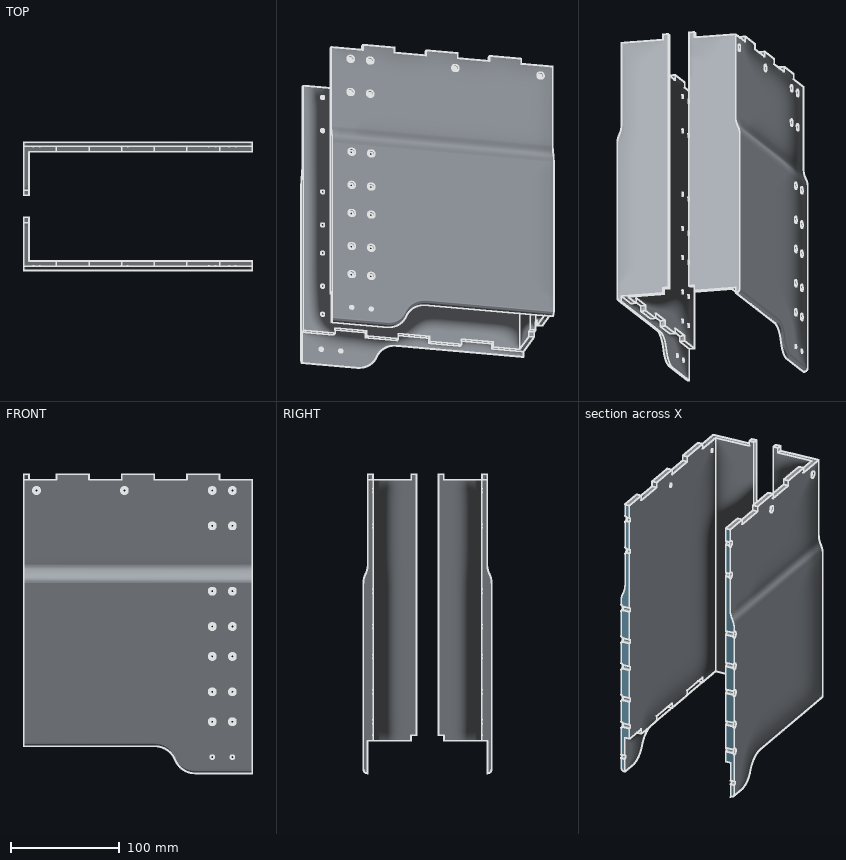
import cadquery as cq
import math

length = 210.0
half_width = 59.05
half_gap = 10.0
sheet = 5.0
inner_face = 50.0
upper_face = inner_face + sheet
step_out = half_width - upper_face

panel_height = 240.0
tab_height = 5.0
tab_top = panel_height + tab_height
total_height = 275.08

tab_length = 30.0
tab_pitch = 60.0
tab_count = 3
first_tab = 30.0

step_start = tab_top - 83.0
upper_arc_radius = 20.0
lower_arc_radius = 18.0

skirt_bottom = tab_top - total_height
skirt_drop = 25.0
skirt_shallow = skirt_bottom + skirt_drop
bend_start = 120.5
bend_radius = 20.0
edge_radius = 4.0

hole_diameter = 3.4
sink_diameter = 6.6
sink_angle = 90.0
top_hole_pitch = 80.75
first_hole_x = 11.75
top_row_extra = (first_hole_x, first_hole_x + top_hole_pitch)
near_column = first_hole_x + 2 * top_hole_pitch
column_gap = 18.5
columns = (near_column, near_column + column_gap)
pair_depths = (15.0, 107.5, 167.5, 227.5)
pair_gap = 32.5
rows = [tab_top - depth - offset for depth in pair_depths for offset in (0, pair_gap)]
top_row = rows[0]
plain_row = rows[-1]

clearance = 1.0


def box(x0, x1, y0, y1, z0, z1):
    """Box between two opposite corners."""
    return cq.Workplane("XY").box(x1 - x0, y1 - y0, z1 - z0, centered=False).translate((x0, y0, z0))


def plain_wall():
    """Plain side wall extruded along X, with the S-shaped step on its outer face."""
    turn = math.acos(1 - step_out / (upper_arc_radius + lower_arc_radius))

    def along(radius, angle):
        return radius * math.sin(angle)

    def across(radius, angle):
        return radius * (1 - math.cos(angle))

    joint_y = upper_face + across(upper_arc_radius, turn)
    joint_z = step_start - along(upper_arc_radius, turn)
    step_end = joint_z - along(lower_arc_radius, turn)
    upper_mid = (
        upper_face + across(upper_arc_radius, turn / 2),
        step_start - along(upper_arc_radius, turn / 2),
    )
    lower_mid = (
        half_width - across(lower_arc_radius, turn / 2),
        step_end + along(lower_arc_radius, turn / 2),
    )
    return (
        cq.Workplane("YZ")
        .moveTo(inner_face, tab_top)
        .lineTo(upper_face, tab_top)
        .lineTo(upper_face, step_start)
        .threePointArc(upper_mid, (joint_y, joint_z))
        .threePointArc(lower_mid, (half_width, step_end))
        .lineTo(half_width, skirt_bottom)
        .lineTo(upper_face, skirt_bottom)
        .lineTo(upper_face, 0)
        .lineTo(inner_face, 0)
        .close()
        .extrude(length)
    )


def skirt_cutout():
    """Region under the shallow part of the skirt, bounded by two tangent arcs."""
    turn = math.acos(1 - skirt_drop / (2 * bend_radius))
    half_run = bend_radius * math.sin(turn)
    near_run = bend_radius * math.sin(turn / 2)
    near_drop = bend_radius * (1 - math.cos(turn / 2))
    bend_end = bend_start + 2 * half_run
    return (
        cq.Workplane("XZ")
        .moveTo(0, skirt_shallow)
        .lineTo(bend_start, skirt_shallow)
        .threePointArc((bend_start + near_run, skirt_shallow - near_drop),
                       (bend_start + half_run, skirt_shallow - skirt_drop / 2))
        .threePointArc((bend_end - near_run, skirt_bottom + near_drop), (bend_end, skirt_bottom))
        .lineTo(0, skirt_bottom)
        .close()
        .extrude(-2 * half_width)
    )


def side_wall():
    """Side wall with its rounded skirt edge, top tabs and bottom notches."""
    wall = plain_wall().cut(skirt_cutout())
    edge = cq.selectors.BoxSelector(
        (-clearance, half_width - clearance, skirt_bottom - clearance),
        (length - clearance, half_width + clearance, skirt_shallow + clearance))
    wall = wall.edges(edge).fillet(edge_radius)
    tab_starts = [first_tab + i * tab_pitch for i in range(tab_count)]

    for start in [0] + [tab_start + tab_length for tab_start in tab_starts]:
        wall = wall.cut(box(start, start + tab_length, inner_face, half_width, panel_height, tab_top))

    for start in tab_starts:
        wall = wall.cut(box(start, start + tab_length, inner_face, upper_face, 0, tab_height))
    return wall


def end_panel():
    """Panel across the X = 0 end, with a tab above and a notch below at its free edge."""
    panel = box(0, sheet, half_gap, upper_face, 0, panel_height)
    tab = box(0, sheet, half_gap, half_gap + sheet, panel_height, tab_top)
    notch = box(0, sheet, half_gap, half_gap + sheet, 0, tab_height)
    return panel.union(tab).cut(notch)


def hole_tool(x, z):
    """Through-hole cutter along Y."""
    return (
        cq.Workplane("XZ", origin=(x, 0, z))
        .circle(hole_diameter / 2)
        .extrude(-(half_width + clearance))
    )


def sink_tool(x, z, outer_face):
    """Countersink cone whose wide end lies on the outer face."""
    depth = sink_diameter / 2 / math.tan(math.radians(sink_angle / 2))
    cone = cq.Solid.makeCone(sink_diameter / 2, 0, depth, cq.Vector(x, outer_face, z), cq.Vector(0, -1, 0))
    return cq.Workplane(obj=cone)


def half_housing():
    """One half: side wall joined to its end panel, with all screw holes."""
    body = side_wall().union(end_panel())
    sunk_holes = [(x, z) for z in rows[:-1] for x in columns]
    sunk_holes += [(x, top_row) for x in top_row_extra]
    for x, z in sunk_holes:
        face = upper_face if z > step_start else half_width
        body = body.cut(hole_tool(x, z)).cut(sink_tool(x, z, face))
    for x in columns:
        body = body.cut(hole_tool(x, plain_row))
    return body


back_half = half_housing()
front_half = back_half.mirror("XZ")

result = cq.Compound.makeCompound([front_half.val(), back_half.val()])